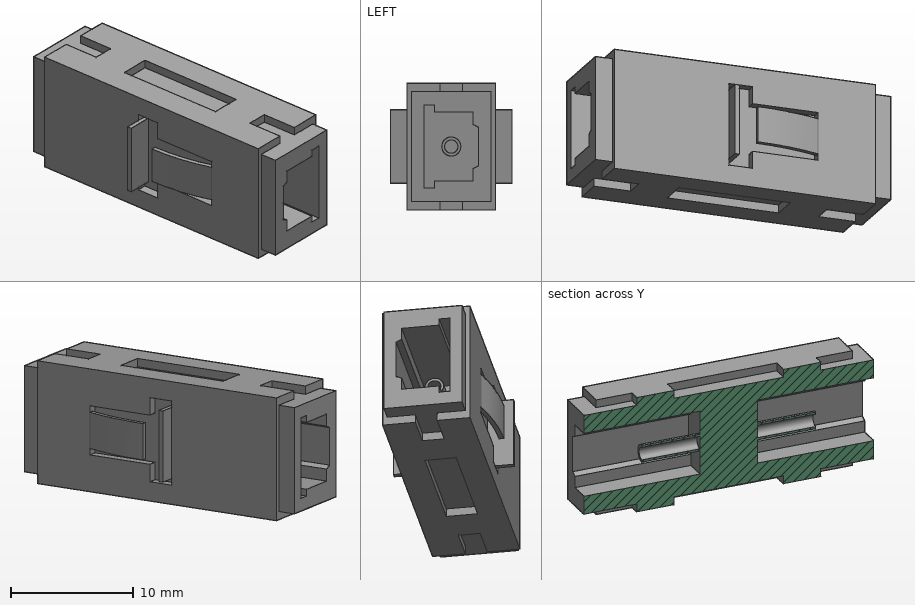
import cadquery as cq
import math

body_length = 25.98
body_width = 6.5
body_height = 9.0
sleeve_length = 22.97
sleeve_width = 7.27
sleeve_height = 10.4
sleeve_side_wall = (sleeve_width - body_width) / 2
sleeve_top_wall = (sleeve_height - body_height) / 2

end_slot_length = 3.22
end_slot_width = 1.82
label_pocket_length = 9.8
label_pocket_width = 2.6

window_start = -1.4
window_step = 0.68
window_end = 6.45
window_depth = 0.8
window_height = 7.12
window_neck_height = 4.15
window_floor_y = sleeve_width / 2 - window_depth

sheet_thickness = sleeve_side_wall
tab_height = 6.03
tab_span = 9.98
spring_tip_x = 0.8
spring_tip_y = 4.52
spring_height = 3.07

socket_depth = 10.4
socket_half_width = 2.23
flange_inner_y = 1.35
flange_half_height = 3.4
key_base_y = -1.77
throat_half_height = 2.83
key_base_half_height = 1.82
key_tip_half_height = 1.58

tube_radius = 0.78
tube_bore_radius = 0.55
tube_length = 5.2


def block_from_x(start, end, width, height):
    """Box spanning start to end along X, centred on the X axis."""
    return cq.Workplane("YZ", origin=(start, 0, 0)).rect(width, height).extrude(end - start)


def make_housing():
    body = cq.Workplane("XY").box(body_length, body_width, body_height)
    sleeve = cq.Workplane("XY").box(sleeve_length, sleeve_width, sleeve_height)
    return body.union(sleeve)


def make_top_recesses():
    """Label pocket and two end slots, cut down to the top face of the body."""
    slot_centre = (sleeve_length - end_slot_length) / 2
    floor = cq.Workplane("XY", origin=(0, 0, body_height / 2))
    pocket = floor.rect(label_pocket_length, label_pocket_width).extrude(sleeve_top_wall)
    slots = (
        floor.pushPoints([(-slot_centre, 0), (slot_centre, 0)])
        .rect(end_slot_length, end_slot_width)
        .extrude(sleeve_top_wall)
    )
    return pocket.union(slots)


def make_front_window():
    """T-shaped recess through the -Y sleeve wall and slightly into the body."""
    wide_part = block_from_x(window_start, window_step, sleeve_width, window_height)
    neck = block_from_x(window_step, window_end, sleeve_width, window_neck_height)
    layer = cq.Workplane("XY").box(sleeve_length, window_depth, sleeve_height)
    layer = layer.translate((0, -(window_floor_y + window_depth / 2), 0))
    return wide_part.union(neck).intersect(layer)


def make_front_tab():
    """Flat latch tab standing out from the floor of the -Y window."""
    reach = tab_span / 2 - window_floor_y
    tab = cq.Workplane("XY").box(sheet_thickness, reach, tab_height)
    return tab.translate((window_start + sheet_thickness / 2, -(window_floor_y + reach / 2), 0))


def make_front_spring():
    """Leaf bent as an arc: level at its free tip, joining the sleeve wall at the window end."""
    run = window_end - spring_tip_x
    drop = spring_tip_y - sleeve_width / 2
    outer_radius = (run**2 + drop**2) / (2 * drop)
    inner_radius = outer_radius - sheet_thickness
    centre_y = outer_radius - spring_tip_y

    def arc_point(radius, x_offset):
        return (spring_tip_x + x_offset, centre_y - math.sqrt(radius**2 - x_offset**2))

    return (
        cq.Workplane("XY", origin=(0, 0, -spring_height / 2))
        .moveTo(*arc_point(outer_radius, 0))
        .threePointArc(arc_point(outer_radius, run / 2), arc_point(outer_radius, run))
        .lineTo(*arc_point(inner_radius, run))
        .threePointArc(arc_point(inner_radius, run / 2), arc_point(inner_radius, 0))
        .close()
        .extrude(spring_height)
    )


def make_left_socket():
    """Cavity in the -X end: flanged on its +Y side, keyed on its -Y side, with the tube left in."""
    upper_half = [
        (socket_half_width, flange_half_height),
        (flange_inner_y, flange_half_height),
        (flange_inner_y, throat_half_height),
        (key_base_y, throat_half_height),
        (key_base_y, key_base_half_height),
        (-socket_half_width, key_tip_half_height),
    ]
    lower_half = [(y, -z) for y, z in reversed(upper_half)]
    mouth = cq.Workplane("YZ", origin=(-body_length / 2, 0, 0))
    cavity = mouth.polyline(upper_half + lower_half).close().extrude(socket_depth)
    tube = (
        mouth.workplane(offset=socket_depth - tube_length)
        .circle(tube_radius)
        .circle(tube_bore_radius)
        .extrude(tube_length)
    )
    return cavity.cut(tube)


top_recesses = make_top_recesses()
front_window = make_front_window()
left_socket = make_left_socket()
front_latch = make_front_tab().union(make_front_spring())

result = (
    make_housing()
    .cut(top_recesses)
    .cut(top_recesses.mirror("XY"))
    .cut(front_window)
    .cut(front_window.mirror("XZ"))
    .cut(left_socket)
    .cut(left_socket.mirror("YZ"))
    .union(front_latch)
    .union(front_latch.mirror("XZ"))
)